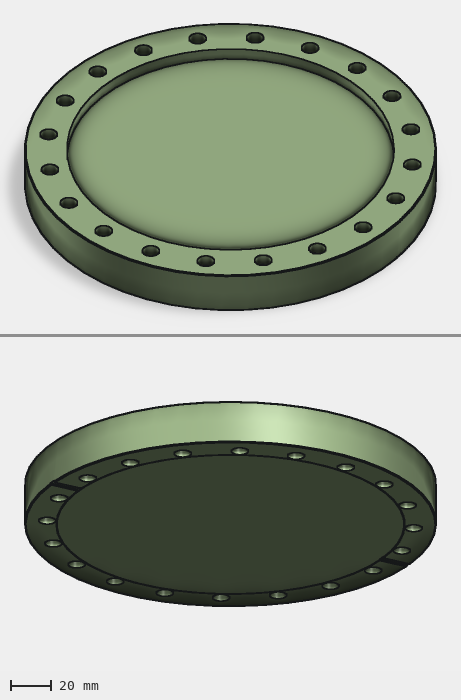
import cadquery as cq

flange_diameter = 203.0
flange_height = 22.0
edge_chamfer = 0.5

opening_diameter = 161.4
seat_diameter = 172.1
lip_height = 6.2

disc_diameter = 171.3
disc_height = flange_height - lip_height

bolt_count = 20
bolt_circle_diameter = 181.0
bolt_hole_diameter = 8.4
bolt_pitch_angle = 360.0 / bolt_count

groove_width = 3.6
groove_depth = 0.8


def cylinder(diameter, height):
    return cq.Workplane("XY").circle(diameter / 2).extrude(height)


def bolt_holes():
    first_angle = bolt_pitch_angle / 2
    return (
        cq.Workplane("XY")
        .polarArray(bolt_circle_diameter / 2, first_angle, 360, bolt_count)
        .circle(bolt_hole_diameter / 2)
        .extrude(flange_height)
    )


def leak_check_groove():
    return cq.Workplane("XY").box(
        flange_diameter, groove_width, groove_depth, centered=(True, True, False)
    )


def make_ring():
    ring = cylinder(flange_diameter, flange_height)
    ring = ring.edges().chamfer(edge_chamfer)
    ring = ring.cut(cylinder(opening_diameter, flange_height))
    ring = ring.cut(cylinder(seat_diameter, disc_height))
    ring = ring.cut(bolt_holes())
    return ring.cut(leak_check_groove())


def make_blank_disc():
    return cylinder(disc_diameter, disc_height)


ring = make_ring()
blank_disc = make_blank_disc()

result = cq.Compound.makeCompound([ring.val(), blank_disc.val()])